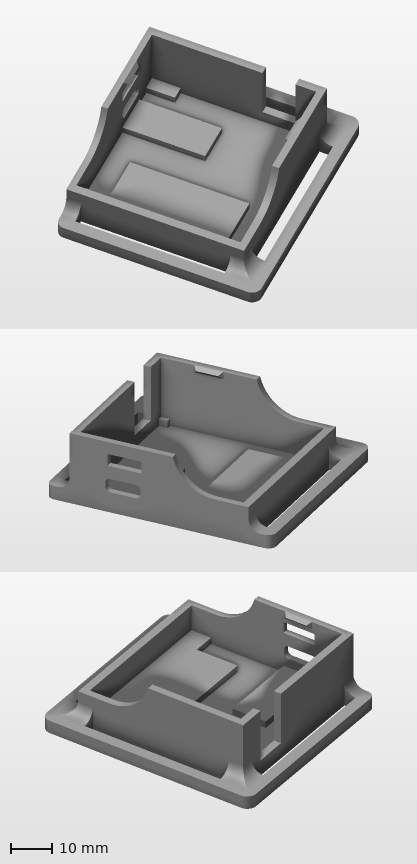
import cadquery as cq
import math

frame_length = 53.84
frame_width = 61.38
frame_height = 3.63
side_rail = 3.12
end_rail = 2.96
left_corner_radius = 2.15
right_corner_radius = 2.6

box_length = 47.33
box_y_min = 6.48
box_y_max = 54.93
box_height = 19.1
left_wall = 1.7
right_wall = 1.9
front_wall = 2.15
back_wall = 2.05
floor_thickness = 1.0

cavity_x_min = left_wall
cavity_x_max = box_length - right_wall
cavity_y_min = box_y_min + front_wall
cavity_y_max = box_y_max - back_wall

low_wall_height = 10.15
arc_y_low = 15.56
arc_y_high = 27.0

web_fillet = 3.34
left_web_length = 3.9
right_web_length = 3.63
end_web_length = 4.3

notch_x_min = 31.1
notch_x_max = 39.9
notch_z = 4.5

connector_y_min = 35.75
connector_y_max = 45.2
connector_z_min = 5.5
connector_z_max = 9.12
connector_radius = 1.2
window_y_min = 35.5
window_y_max = 44.7
window_z_min = 12.6
window_z_max = 15.8

pad_height = 1.9
board_pad_x_max = 23.7
board_pad_y_min = 35.6
board_pad_y_max = 45.4
corner_pad_length = 7.65
corner_pad_width = 3.4
stop_length = 1.2
stop_width = 2.4
front_pad_x_min = 7.93
front_pad_x_max = 39.7
front_pad_y_step = 14.37
front_pad_y_max = 26.35

snap_y_min = 36.0
snap_y_max = 43.9
snap_height = 1.95
snap_depth = snap_height / 2


def block(x_min, x_max, y_min, y_max, z_min, z_max):
    """Axis-aligned block between the given limits."""
    size = (x_max - x_min, y_max - y_min, z_max - z_min)
    return cq.Workplane("XY").box(*size, centered=False).translate((x_min, y_min, z_min))


def make_frame():
    """Flat rounded frame, open inside its rails and along the box's left side."""
    outer = block(0, frame_length, 0, frame_width, 0, frame_height)
    outer = outer.edges("|Z and <X").fillet(left_corner_radius)
    outer = outer.edges("|Z and >X").fillet(right_corner_radius)
    opening = block(0, frame_length - end_rail, side_rail, frame_width - side_rail, 0, frame_height)
    return outer.cut(opening)


def make_box():
    """Solid box whose front is lowered along a concave arc."""
    drop = box_height - low_wall_height
    run = arc_y_high - arc_y_low
    radius = (run**2 + drop**2) / (2 * drop)
    half_angle = math.atan2(drop, run)
    arc_mid = (
        arc_y_low + radius * math.sin(half_angle),
        low_wall_height + radius * (1 - math.cos(half_angle)),
    )
    profile = (
        cq.Workplane("YZ")
        .moveTo(box_y_min, 0)
        .lineTo(box_y_max, 0)
        .lineTo(box_y_max, box_height)
        .lineTo(arc_y_high, box_height)
        .threePointArc(arc_mid, (arc_y_low, low_wall_height))
        .lineTo(box_y_min, low_wall_height)
        .close()
    )
    return profile.extrude(box_length)


def make_webs():
    """Corner webs with concave tops that sweep from the box walls to the frame, mitred at the right."""
    top = frame_height + web_fillet
    quarter = web_fillet * (1 - math.sqrt(0.5))
    y_flare = (
        cq.Workplane("YZ")
        .moveTo(0, 0)
        .lineTo(frame_width, 0)
        .lineTo(frame_width, frame_height)
        .lineTo(box_y_max + web_fillet, frame_height)
        .threePointArc((box_y_max + quarter, frame_height + quarter), (box_y_max, top))
        .lineTo(box_y_min, top)
        .threePointArc(
            (box_y_min - quarter, frame_height + quarter),
            (box_y_min - web_fillet, frame_height),
        )
        .lineTo(0, frame_height)
        .close()
        .extrude(frame_length)
    )
    x_flare = (
        cq.Workplane("XZ")
        .moveTo(0, 0)
        .lineTo(frame_length, 0)
        .lineTo(frame_length, frame_height)
        .lineTo(box_length + web_fillet, frame_height)
        .threePointArc((box_length + quarter, frame_height + quarter), (box_length, top))
        .lineTo(0, top)
        .close()
        .extrude(-frame_width)
    )
    inner_x = frame_length - end_rail
    inner_y_max = frame_width - side_rail
    right_start = box_length - right_web_length
    front_end = box_y_min + end_web_length
    back_start = box_y_max - end_web_length
    footprint = block(0, left_web_length, side_rail, box_y_min, 0, top)
    for region in (
        (0, left_web_length, box_y_max, inner_y_max),
        (right_start, inner_x, side_rail, box_y_min),
        (right_start, inner_x, box_y_max, inner_y_max),
        (box_length, inner_x, side_rail, front_end),
        (box_length, inner_x, back_start, inner_y_max),
    ):
        footprint = footprint.union(block(*region, 0, top))
    return footprint.intersect(y_flare).intersect(x_flare)


def make_cavity():
    """Space inside the box, above the floor."""
    return block(cavity_x_min, cavity_x_max, cavity_y_min, cavity_y_max, floor_thickness, box_height)


def make_wall_openings():
    """Back notch, plus the connector slot and window of the left wall."""
    notch = block(notch_x_min, notch_x_max, cavity_y_max, box_y_max, notch_z, box_height)
    connector = block(0, left_wall, connector_y_min, connector_y_max, connector_z_min, connector_z_max)
    connector = connector.edges("|X").fillet(connector_radius)
    window = block(0, left_wall, window_y_min, window_y_max, window_z_min, window_z_max)
    return notch.union(connector).union(window)


def make_pads():
    """Raised pads standing on the cavity floor."""
    z_top = floor_thickness + pad_height
    board = block(cavity_x_min, board_pad_x_max, board_pad_y_min, board_pad_y_max, floor_thickness, z_top)
    corner = block(
        cavity_x_min, cavity_x_min + corner_pad_length,
        cavity_y_max - corner_pad_width, cavity_y_max,
        floor_thickness, z_top,
    )
    stop = block(
        cavity_x_max - stop_length, cavity_x_max,
        cavity_y_max - stop_width, cavity_y_max,
        floor_thickness, z_top,
    )
    front = (
        cq.Workplane("XY", origin=(0, 0, floor_thickness))
        .moveTo(cavity_x_min, cavity_y_min)
        .lineTo(front_pad_x_max, cavity_y_min)
        .lineTo(front_pad_x_max, front_pad_y_max)
        .lineTo(front_pad_x_min, front_pad_y_max)
        .lineTo(front_pad_x_min, front_pad_y_step)
        .lineTo(cavity_x_min, front_pad_y_step)
        .close()
        .extrude(pad_height)
    )
    return board.union(corner).union(stop).union(front)


def make_snap(wall_x, inward):
    """Ridge with 45 degree faces all round; inward is +1 or -1 along X."""
    tip_x = wall_x + inward * snap_depth
    ridge = (
        cq.Workplane("XZ", origin=(0, snap_y_min, 0))
        .moveTo(wall_x, box_height)
        .lineTo(tip_x, box_height - snap_depth)
        .lineTo(wall_x, box_height - snap_height)
        .close()
        .extrude(snap_y_min - snap_y_max)
    )
    sloped_ends = (
        cq.Workplane("XY", origin=(0, 0, box_height - snap_height))
        .moveTo(wall_x, snap_y_min)
        .lineTo(tip_x, snap_y_min + snap_depth)
        .lineTo(tip_x, snap_y_max - snap_depth)
        .lineTo(wall_x, snap_y_max)
        .close()
        .extrude(snap_height)
    )
    return ridge.intersect(sloped_ends)


result = make_frame().union(make_box()).union(make_webs())
result = result.cut(make_cavity()).cut(make_wall_openings())
result = result.union(make_pads())
result = result.union(make_snap(cavity_x_min, 1)).union(make_snap(cavity_x_max, -1))